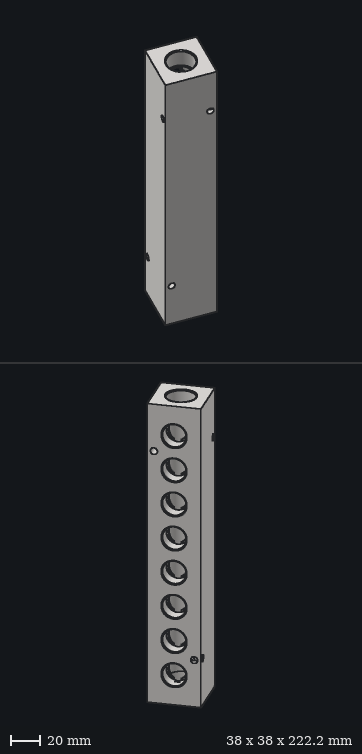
import cadquery as cq

length = 222.2
width = 38.0

bore_diameter = 17.8

end_port_diameter = 20.7
end_port_depth = 13.3

outlet_count = 8
outlet_end_margin = 22.2
outlet_pitch = (length - 2 * outlet_end_margin) / (outlet_count - 1)
outlet_diameter = 16.7
outlet_depth = 10.5
outlet_drill_diameter = 14.0

mouth_chamfer = 0.78

mount_diameter = 5.0
mount_offset = 14.2
mount_height = 3 * outlet_pitch


def cylinder(start, direction, diameter, depth):
    """Straight round cutter running from its start point along a direction."""
    return cq.Workplane(cq.Solid.makeCylinder(diameter / 2, depth, start, direction))


def port(mouth, inward, diameter, depth):
    """Flat-bottomed port cutter with a chamfered mouth."""
    radius = diameter / 2
    chamfer = cq.Solid.makeCone(radius + mouth_chamfer, radius, mouth_chamfer, mouth, inward)
    return cylinder(mouth, inward, diameter, depth).union(cq.Workplane(chamfer))


body = cq.Workplane("XY").box(width, width, length)

along_x = cq.Vector(1, 0, 0)
along_y = cq.Vector(0, 1, 0)
along_z = cq.Vector(0, 0, 1)

bottom_center = cq.Vector(0, 0, -length / 2)
body = body.cut(cylinder(bottom_center, along_z, bore_diameter, length))

for end in (1, -1):
    mouth = along_z * (end * length / 2)
    body = body.cut(port(mouth, along_z * -end, end_port_diameter, end_port_depth))

for index in range(outlet_count):
    height = -length / 2 + outlet_end_margin + index * outlet_pitch
    mouth = cq.Vector(-width / 2, 0, height)
    body = body.cut(port(mouth, along_x, outlet_diameter, outlet_depth))
    body = body.cut(cylinder(mouth, along_x, outlet_drill_diameter, width / 2))

for side in (1, -1):
    offset = side * mount_offset
    height = side * mount_height
    body = body.cut(cylinder(cq.Vector(-width / 2, offset, height), along_x, mount_diameter, width))
    body = body.cut(cylinder(cq.Vector(offset, -width / 2, height), along_y, mount_diameter, width))

result = body